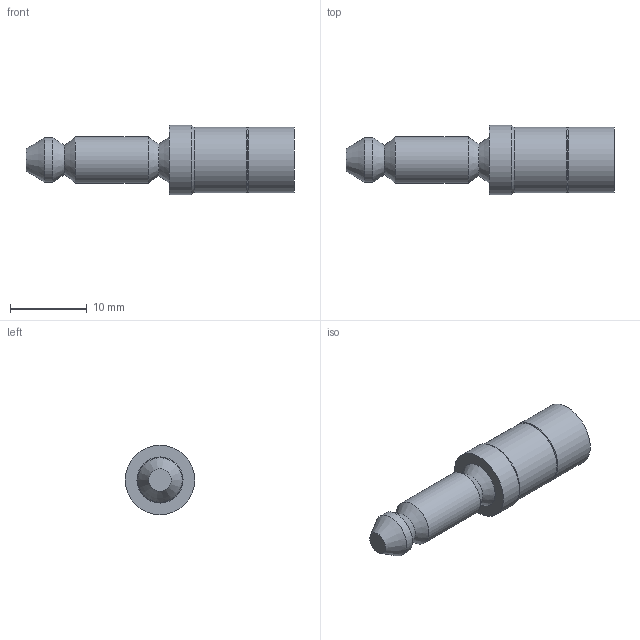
import cadquery as cq

TIP_DIAMETER = 2.95
HEAD_DIAMETER = 5.8
FRONT_NECK_DIAMETER = 3.8
PIN_DIAMETER = 5.99
REAR_NECK_DIAMETER = 4.1
COLLAR_ROOT_DIAMETER = PIN_DIAMETER
COLLAR_DIAMETER = 9.0
BODY_DIAMETER = 8.5

NOSE_LENGTH = 2.42
HEAD_LENGTH = 1.08
HEAD_BACK_LENGTH = 1.5
PIN_LEAD_LENGTH = 1.42
PIN_LENGTH = 9.48
PIN_BACK_LENGTH = 1.35
COLLAR_ROOT_LENGTH = 1.35
COLLAR_LENGTH = 2.96
COLLAR_TAPER_LENGTH = 0.3
BODY_LENGTH = 6.86
GROOVE_WIDTH = 0.16
REAR_LENGTH = 5.96

GROOVE_DIAMETER = BODY_DIAMETER - GROOVE_WIDTH

SECTIONS = [
    (NOSE_LENGTH, TIP_DIAMETER, HEAD_DIAMETER),
    (HEAD_LENGTH, HEAD_DIAMETER, HEAD_DIAMETER),
    (HEAD_BACK_LENGTH, HEAD_DIAMETER, FRONT_NECK_DIAMETER),
    (PIN_LEAD_LENGTH, FRONT_NECK_DIAMETER, PIN_DIAMETER),
    (PIN_LENGTH, PIN_DIAMETER, PIN_DIAMETER),
    (PIN_BACK_LENGTH, PIN_DIAMETER, REAR_NECK_DIAMETER),
    (COLLAR_ROOT_LENGTH, REAR_NECK_DIAMETER, COLLAR_ROOT_DIAMETER),
    (COLLAR_LENGTH, COLLAR_DIAMETER, COLLAR_DIAMETER),
    (COLLAR_TAPER_LENGTH, COLLAR_DIAMETER, BODY_DIAMETER),
    (BODY_LENGTH, BODY_DIAMETER, BODY_DIAMETER),
    (GROOVE_WIDTH / 2, BODY_DIAMETER, GROOVE_DIAMETER),
    (GROOVE_WIDTH / 2, GROOVE_DIAMETER, BODY_DIAMETER),
    (REAR_LENGTH, BODY_DIAMETER, BODY_DIAMETER),
]


def half_profile(sections):
    """Points (x, radius) of the half section, starting on the axis at the tip."""
    points = [(0, 0)]
    x = 0
    for length, start_diameter, end_diameter in sections:
        start = (x, start_diameter / 2)
        if start != points[-1]:
            points.append(start)
        x += length
        points.append((x, end_diameter / 2))
    points.append((x, 0))
    return points


def turned_pin():
    """Revolve the half section about the X axis."""
    profile = cq.Workplane("XY").polyline(half_profile(SECTIONS)).close()
    return profile.revolve(360, (0, 0, 0), (1, 0, 0))


result = turned_pin()